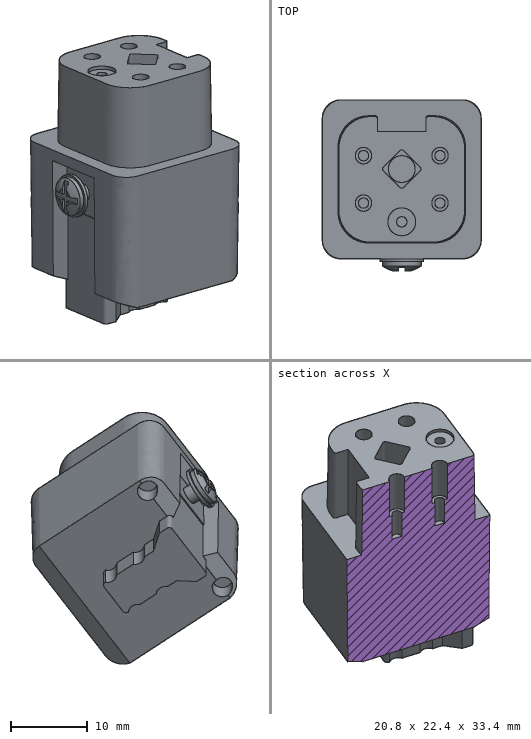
import cadquery as cq
import math

BODY_BOTTOM_Z = 3.9
SHOULDER_Z = 22.3
TOP_Z = 33.4

BODY_SIDE = 20.8
BODY_BOTTOM_SIDE = 20.5
BODY_RADIUS = 2.45
BEVEL_HEIGHT = 0.8
BEVEL_DEPTH = 2.2

PLUG_BASE_SIDE = 16.65
PLUG_TOP_SIDE = 16.4
PLUG_RADIUS = 4.05
KEYWAY_WIDTH = 6.35
KEYWAY_DEPTH = 1.95
KEYWAY_RADIUS = 0.3

SOCKET_SPACING_X = 10.0
SOCKET_SPACING_Y = 6.2
SOCKET_DIAMETER = 2.15
SOCKET_DEPTH = 6.0
BORE_DIAMETER = 1.35
BORE_EXTRA_DEPTH = 4.0
EARTH_Y = -5.55
EARTH_DIAMETER = 3.65
EARTH_DEPTH = 0.45

POCKET_Y = 1.35
POCKET_SIDE = 3.75
POCKET_RADIUS = 0.35
POCKET_DEPTH = 6.0
POCKET_HOLE_DIAMETER = 3.5
POCKET_HOLE_EXTRA_DEPTH = 4.0

TONGUE_X = 0.18
TONGUE_FRONT_Y = -8.54
TONGUE_BACK_Y = 3.52
TONGUE_HALF_WIDTH = 4.23
TONGUE_WAIST = 2.6
HEAD_BACK_Y = -6.82
WAIST_FRONT_Y = -4.73
TONGUE_RADIUS = 0.5
FLUTE_CENTRES_Y = (-2.38, 2.05)
FLUTE_CHORD = 1.8
FLUTE_RADIUS = 1.2

RECESS_HALF_WIDTH = 4.28
RECESS_TOP_Z = 20.8
WALL_SLOPE = 0.53
TOP_WALL_HEIGHT = 0.6
PAD_Y = -8.66
PAD_BOTTOM_Z = 14.15

SCREW_Z = 17.2
NECK_RADIUS = 1.2
WASHER_RADIUS = 2.85
WASHER_BACK_Y = -10.3
WASHER_FRONT_Y = -10.74
HEAD_RADIUS = 2.55
HEAD_RIM_Y = -11.32
HEAD_TIP_Y = -(22.39 - BODY_SIDE / 2)
SLOT_WIDTH = 0.8
SLOT_FLOOR_Y = -11.52
CROSS_SQUARE_SIDE = 2.23
CROSS_SQUARE_FLOOR_Y = -11.9

CORNER_HOLE_X = 8.44
CORNER_HOLE_Y = -8.05
CORNER_HOLE_DIAMETER = 2.64
CORNER_HOLE_DEPTH = 3.0

OVERLAP = 1.0


def drafted_block(low_z, low_side, high_z, high_side, radius):
    """Rounded square block whose side changes evenly from low_z to high_z."""
    low = cq.Sketch().rect(low_side, low_side).vertices().fillet(radius)
    high = cq.Sketch().rect(high_side, high_side).vertices().fillet(radius)
    base = cq.Workplane("XY").workplane(offset=low_z)
    sections = base.placeSketch(low, high.moved(cq.Location(cq.Vector(0, 0, high_z - low_z))))
    return sections.loft(ruled=True)


def cylinder_down(x, y, top_z, diameter, depth):
    """Vertical cylinder hanging down from top_z."""
    return cq.Workplane("XY", origin=(x, y, top_z)).circle(diameter / 2).extrude(-depth)


def disc_outward(radius, back_y, front_y):
    """Disc on the screw axis, from back_y out to front_y."""
    plane = cq.Workplane("XZ", origin=(0, back_y, SCREW_Z))
    return plane.circle(radius).extrude(back_y - front_y)


def make_body():
    """Main block with the sloping bevels along its front and back lower edges."""
    body = drafted_block(BODY_BOTTOM_Z, BODY_BOTTOM_SIDE, SHOULDER_Z, BODY_SIDE, BODY_RADIUS)
    bevel_start = BODY_BOTTOM_SIDE / 2 - BEVEL_DEPTH
    run = BEVEL_DEPTH + OVERLAP
    rise = BEVEL_HEIGHT * run / BEVEL_DEPTH
    wedge = (
        cq.Workplane("YZ")
        .moveTo(bevel_start, BODY_BOTTOM_Z)
        .lineTo(bevel_start + run, BODY_BOTTOM_Z)
        .lineTo(bevel_start + run, BODY_BOTTOM_Z + rise)
        .close()
        .extrude(BODY_SIDE, both=True)
    )
    return body.cut(wedge).cut(wedge.mirror("XZ"))


def recess_section(front_y):
    """Corners of the recess at one height, where the body's front face is at front_y."""
    outer_y = front_y - OVERLAP
    outer_x = RECESS_HALF_WIDTH + WALL_SLOPE * OVERLAP
    inner_x = RECESS_HALF_WIDTH - WALL_SLOPE * (TONGUE_FRONT_Y - front_y)
    return [
        (-outer_x, outer_y),
        (outer_x, outer_y),
        (inner_x, TONGUE_FRONT_Y),
        (-inner_x, TONGUE_FRONT_Y),
    ]


def make_recess():
    """Cutter for the front recess: sloped side walls, sloped top wall and pad step."""
    walls = (
        cq.Workplane("XY", origin=(0, 0, BODY_BOTTOM_Z))
        .polyline(recess_section(-BODY_BOTTOM_SIDE / 2))
        .close()
        .workplane(offset=SHOULDER_Z - BODY_BOTTOM_Z)
        .polyline(recess_section(-BODY_SIDE / 2))
        .close()
        .loft(ruled=True)
    )
    front_y = -BODY_SIDE / 2
    top_slope = TOP_WALL_HEIGHT / (PAD_Y - front_y)
    depth_profile = (
        cq.Workplane("YZ")
        .moveTo(TONGUE_FRONT_Y, BODY_BOTTOM_Z)
        .lineTo(TONGUE_FRONT_Y, PAD_BOTTOM_Z)
        .lineTo(PAD_Y, PAD_BOTTOM_Z)
        .lineTo(PAD_Y, RECESS_TOP_Z - TOP_WALL_HEIGHT)
        .lineTo(front_y - OVERLAP, RECESS_TOP_Z + top_slope * OVERLAP)
        .lineTo(front_y - OVERLAP, BODY_BOTTOM_Z)
        .close()
        .extrude(BODY_SIDE, both=True)
    )
    return walls.intersect(depth_profile)


def make_plug():
    """Upper plug with the keyway down its back face."""
    plug = drafted_block(SHOULDER_Z, PLUG_BASE_SIDE, TOP_Z, PLUG_TOP_SIDE, PLUG_RADIUS)
    keyway_floor_y = PLUG_TOP_SIDE / 2 - KEYWAY_DEPTH
    keyway = cq.Workplane("XY").box(
        KEYWAY_WIDTH, KEYWAY_DEPTH + OVERLAP, TOP_Z - SHOULDER_Z, centered=(True, False, False)
    )
    plug = plug.cut(keyway.translate((0, keyway_floor_y, SHOULDER_Z)))
    reach = KEYWAY_WIDTH / 2 + KEYWAY_RADIUS
    lips = cq.selectors.BoxSelector(
        (-reach, keyway_floor_y + OVERLAP, SHOULDER_Z), (reach, PLUG_BASE_SIDE, TOP_Z)
    )
    return plug.edges(lips).edges("not(#Z)").fillet(KEYWAY_RADIUS)


def make_sockets():
    """Cutters for the four stepped pin sockets and the earth socket."""
    cutters = cylinder_down(0, EARTH_Y, TOP_Z, EARTH_DIAMETER, EARTH_DEPTH)
    cutters = cutters.union(cylinder_down(0, EARTH_Y, TOP_Z, BORE_DIAMETER, SOCKET_DEPTH))
    for side_x in (-1, 1):
        for side_y in (-1, 1):
            x = side_x * SOCKET_SPACING_X / 2
            y = side_y * SOCKET_SPACING_Y / 2
            bore_depth = SOCKET_DEPTH + BORE_EXTRA_DEPTH
            cutters = cutters.union(cylinder_down(x, y, TOP_Z, SOCKET_DIAMETER, SOCKET_DEPTH))
            cutters = cutters.union(cylinder_down(x, y, TOP_Z, BORE_DIAMETER, bore_depth))
    return cutters


def make_pocket():
    """Cutter for the square coding pocket and the hole in its floor."""
    square = cq.Workplane("XY").rect(POCKET_SIDE, POCKET_SIDE).extrude(-POCKET_DEPTH)
    square = square.edges("|Z").fillet(POCKET_RADIUS)
    square = square.rotate((0, 0, 0), (0, 0, 1), 45).translate((0, POCKET_Y, TOP_Z))
    hole_depth = POCKET_DEPTH + POCKET_HOLE_EXTRA_DEPTH
    return square.union(cylinder_down(0, POCKET_Y, TOP_Z, POCKET_HOLE_DIAMETER, hole_depth))


def make_tongue():
    """Lower tongue: a wide front, a narrow waist with flutes, and rounded end corners."""
    half_outline = [
        (0, TONGUE_FRONT_Y),
        (TONGUE_HALF_WIDTH, TONGUE_FRONT_Y),
        (TONGUE_HALF_WIDTH, HEAD_BACK_Y),
        (TONGUE_WAIST, WAIST_FRONT_Y),
        (TONGUE_WAIST, TONGUE_BACK_Y),
        (0, TONGUE_BACK_Y),
    ]
    height = BODY_BOTTOM_Z + OVERLAP
    half = cq.Workplane("XY").polyline(half_outline).close().extrude(height)
    tongue = half.union(half.mirror("YZ"))
    tongue = tongue.edges("|Z and (<Y or >Y)").fillet(TONGUE_RADIUS)
    flute_x = TONGUE_WAIST + math.sqrt(FLUTE_RADIUS**2 - (FLUTE_CHORD / 2) ** 2)
    for y in FLUTE_CENTRES_Y:
        for x in (-flute_x, flute_x):
            tongue = tongue.cut(cylinder_down(x, y, height, 2 * FLUTE_RADIUS, height))
    return tongue.translate((TONGUE_X, 0, 0))


def make_screw_head():
    """Domed screw head with a cross slot and a shallow square at the crossing.

    The square removes the crown of the dome, so the tip of the head lies on the
    sides of the square.  The sphere passes through that tip and through the rim.
    """
    tip_radius = CROSS_SQUARE_SIDE / 2
    tip_height = HEAD_RIM_Y - HEAD_TIP_Y
    centre_depth = (HEAD_RADIUS**2 - tip_radius**2 - tip_height**2) / (2 * tip_height)
    dome_radius = math.hypot(HEAD_RADIUS, centre_depth)
    dome = cq.Workplane("XY").sphere(dome_radius)
    dome = dome.translate((0, HEAD_RIM_Y + centre_depth, SCREW_Z))
    head = disc_outward(HEAD_RADIUS, WASHER_FRONT_Y, HEAD_TIP_Y - OVERLAP).intersect(dome)

    slot_plane = cq.Workplane("XZ", origin=(0, SLOT_FLOOR_Y, SCREW_Z))
    slot_length = 2 * HEAD_RADIUS
    for width, height in ((slot_length, SLOT_WIDTH), (SLOT_WIDTH, slot_length)):
        head = head.cut(slot_plane.rect(width, height).extrude(OVERLAP))

    square = cq.Workplane("XZ").rect(CROSS_SQUARE_SIDE, CROSS_SQUARE_SIDE).extrude(OVERLAP)
    square = square.rotate((0, 0, 0), (0, 1, 0), 45)
    return head.cut(square.translate((0, CROSS_SQUARE_FLOOR_Y, SCREW_Z)))


def make_screw():
    """Screw neck, washer and head standing on the pad."""
    neck = disc_outward(NECK_RADIUS, PAD_Y + OVERLAP, WASHER_FRONT_Y)
    washer = disc_outward(WASHER_RADIUS, WASHER_BACK_Y, WASHER_FRONT_Y)
    return neck.union(washer).union(make_screw_head())


def make_corner_holes():
    """Cutters for the two holes in the front corners of the underside."""
    top_z = BODY_BOTTOM_Z + CORNER_HOLE_DEPTH
    left = cylinder_down(-CORNER_HOLE_X, CORNER_HOLE_Y, top_z, CORNER_HOLE_DIAMETER, CORNER_HOLE_DEPTH)
    return left.union(left.mirror("YZ"))


housing = make_body().cut(make_recess()).cut(make_corner_holes())
housing = housing.union(make_plug()).cut(make_sockets()).cut(make_pocket())
result = housing.union(make_tongue()).union(make_screw())